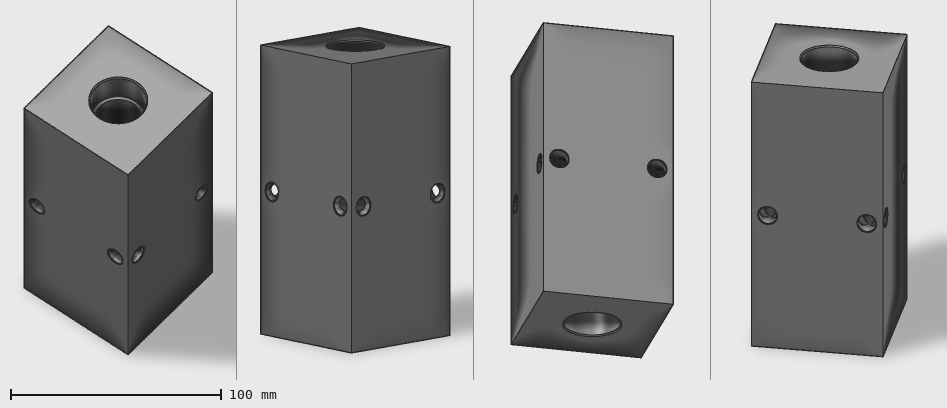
import cadquery as cq

WIDTH = 63.5
HEIGHT = 139.7

PASSAGE_DIAMETER = 22.25
PORT_MOUTH_DIAMETER = 28.0
PORT_DIAMETER = 26.75
PORT_DEPTH = 13.8
PORT_TAPER = 1 / 16

MOUNT_DIAMETER = 8.75
MOUNT_MOUTH_DIAMETER = 9.5
MOUNT_EDGE_DISTANCE = 7.85
MOUNT_OFFSET = WIDTH / 2 - MOUNT_EDGE_DISTANCE


def stepped_bore(length, steps):
    """Revolved cutter about Z, mirrored at mid length.

    Each step is (diameter, depth below the end face), from the mouth inward.
    """
    half = length / 2
    upper = [(diameter / 2, half - depth) for diameter, depth in steps]
    lower = [(radius, -z) for radius, z in reversed(upper)]
    outline = [(0, half)] + upper + lower + [(0, -half)]
    return cq.Workplane("XZ").polyline(outline).close().revolve(360, (0, 0), (0, 1))


def flow_passage():
    """Through passage with a tapered port at the top and bottom."""
    chamfer = (PORT_MOUTH_DIAMETER - PORT_DIAMETER) / 2
    port_floor_diameter = PORT_DIAMETER - PORT_TAPER * (PORT_DEPTH - chamfer)
    steps = [
        (PORT_MOUTH_DIAMETER, 0),
        (PORT_DIAMETER, chamfer),
        (port_floor_diameter, PORT_DEPTH),
        (PASSAGE_DIAMETER, PORT_DEPTH),
    ]
    return stepped_bore(HEIGHT, steps)


def mount_hole():
    """Through hole along Z, chamfered at both mouths."""
    chamfer = (MOUNT_MOUTH_DIAMETER - MOUNT_DIAMETER) / 2
    steps = [(MOUNT_MOUTH_DIAMETER, 0), (MOUNT_DIAMETER, chamfer)]
    return stepped_bore(WIDTH, steps)


block = cq.Workplane("XY").box(WIDTH, WIDTH, HEIGHT)
result = block.cut(flow_passage())

hole_along_y = mount_hole().rotate((0, 0, 0), (1, 0, 0), 90)
hole_along_x = mount_hole().rotate((0, 0, 0), (0, 1, 0), 90)
for offset in (-MOUNT_OFFSET, MOUNT_OFFSET):
    result = result.cut(hole_along_y.translate((offset, 0, 0)))
    result = result.cut(hole_along_x.translate((0, offset, 0)))